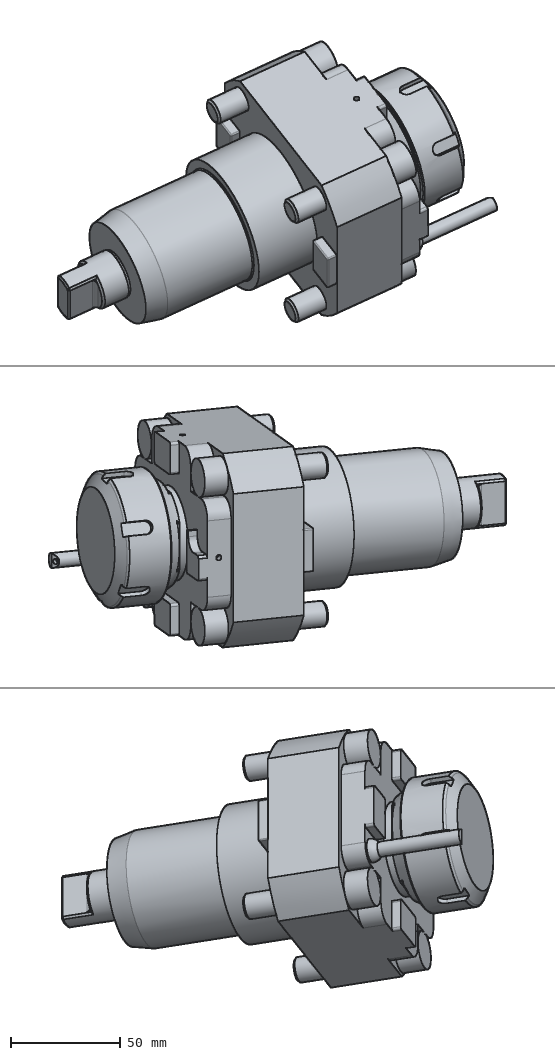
import cadquery as cq
import math


overall_length = 206

flange_width = 100.0
flange_height = 92.0
flange_thickness = 34.4
flange_corner_diameter = 117.2

cover_width = 93.9
cover_back = 46.0
cover_upright_width = 50.5
cover_bar_height = 52.7
cover_edge_radius = 8.2
oil_hole_diameter = 2.5
oil_hole_depth = 4.1
oil_hole_y = 40.4

lug_width = 20.5
lug_length = 15.5
lug_back = 50.2
lug_edge_radius = 1.2
relief_x = -40.0
relief_z = 7.6
relief_floor_x = -41.2
relief_floor_z = 1.6

collar_diameter = 44.0

nut_diameter = 63.0
nut_front = 50.0
nut_shoulder_y = 57.2
nut_back = 82.8
nut_bevel_length = 3.7
nut_edge = 1.0
nut_shoulder_edge = 0.6
nut_skirt_small_radius = 24.5
nut_skirt_large_radius = 28.6
nut_end_radius = 24.7
nut_flat_width = 44.5
nut_flat_back = 51.5
nut_slot_count = 6
nut_slot_width = 6.4
nut_slot_start_y = 65.9
nut_slot_floor_radius = 29.0
nut_slot_first_angle = -6.5

pipe_diameter = 7.0
pipe_x = 39.0
pipe_z = -19.0
pipe_end_y = 89.8
pipe_bevel = 2.7
pipe_ball_radius = 5.5
pipe_outlet_diameter = 2.5
pipe_outlet_depth = 3.0

bolt_x = 34.5
bolt_z = 35.2
bolt_head_diameter = 18.0
bolt_shank_diameter = 12.0
bolt_shank_length = 15.9
bolt_chamfer = 1.0

key_width = 13.2
key_height = 20.5
key_thickness = 5.0
key_outer_x = 49.6
key_edge_radius = 0.6

pilot_diameter = 65.0
pilot_length = 31.0
shank_diameter = 55.0
shank_root_chamfer = 0.6
shank_taper_start = 76.8
shank_length = 86.9
shank_end_diameter = 50.5

neck_diameter = 23.9
neck_root_diameter = 23.0
neck_root_length = 1.2
neck_end = 101.7
neck_chamfer = 1.0
tang_thickness = 10.3
tang_end = overall_length - pipe_end_y
tang_edge_chamfer = 0.8
tang_root_radius = 1.9


def y_cylinder(diameter, y_start, y_end, x=0, z=0):
    """Cylinder parallel to Y between two Y positions."""
    return (
        cq.Workplane("XZ", origin=(x, y_start, z))
        .circle(diameter / 2)
        .extrude(y_start - y_end)
    )


def y_block(width, height, y_start, y_end, x=0, z=0):
    """Block centred on (x, z) between two Y positions."""
    return (
        cq.Workplane("XZ", origin=(x, y_start, z))
        .rect(width, height)
        .extrude(y_start - y_end)
    )


def revolved(profile):
    """Solid of revolution about the Y axis from (radius, y) points."""
    return cq.Workplane("XY").polyline(profile).close().revolve(360, (0, 0, 0), (0, 1, 0))


def make_flange():
    block = y_block(flange_width, flange_height, 0, flange_thickness)
    return block.intersect(y_cylinder(flange_corner_diameter, 0, flange_thickness))


def make_cover():
    upright = y_block(cover_upright_width, flange_height, flange_thickness, cover_back)
    bar = y_block(cover_width, cover_bar_height, flange_thickness, cover_back)
    upright = upright.edges("|Y").fillet(cover_edge_radius)
    bar = bar.edges("|Y").fillet(cover_edge_radius)
    oil_hole = cq.Workplane("XY").circle(oil_hole_diameter / 2).extrude(oil_hole_depth)
    top_hole = oil_hole.translate((0, oil_hole_y, flange_height / 2 - oil_hole_depth))
    side_hole = oil_hole.rotate((0, 0, 0), (0, 1, 0), 90).translate((-cover_width / 2, oil_hole_y, 0))
    return upright.union(bar).cut(top_hole).cut(side_hole)


def make_lugs():
    lugs = cq.Workplane("XY")
    side_x = (cover_width - lug_length) / 2
    end_z = (flange_height - lug_length) / 2
    for sign in (-1, 1):
        side = y_block(lug_length, lug_width, cover_back, lug_back, x=sign * side_x)
        end = y_block(lug_width, lug_length, cover_back, lug_back, z=sign * end_z)
        lugs = lugs.union(side.edges("|Y").fillet(lug_edge_radius))
        lugs = lugs.union(end.edges("|Y").fillet(lug_edge_radius))
    return lugs.cut(make_lug_relief())


def make_lug_relief():
    """Scoop in the upper outer corner of the -X lug: a bevelled flat floor running into an arc."""
    outer_x = -cover_width / 2
    relief_radius = math.hypot(relief_floor_x - relief_x, relief_floor_z - relief_z)
    relief_end_x = relief_x + relief_radius
    arc_middle = (
        relief_x + relief_radius * math.cos(math.radians(-45)),
        relief_z + relief_radius * math.sin(math.radians(-45)),
    )
    return (
        cq.Workplane("XZ", origin=(0, cover_back, 0))
        .moveTo(outer_x, relief_floor_z - lug_edge_radius)
        .lineTo(outer_x + lug_edge_radius, relief_floor_z)
        .lineTo(relief_floor_x, relief_floor_z)
        .threePointArc(arc_middle, (relief_end_x, relief_z))
        .lineTo(relief_end_x, lug_width / 2)
        .lineTo(outer_x, lug_width / 2)
        .close()
        .extrude(cover_back - lug_back)
    )


def make_collar():
    return y_cylinder(collar_diameter, flange_thickness, nut_front)


def make_nut():
    nut_radius = nut_diameter / 2
    bevel_y = nut_back - nut_bevel_length
    nut = revolved([
        (0, nut_front),
        (nut_skirt_small_radius, nut_front),
        (nut_skirt_large_radius, nut_shoulder_y),
        (nut_radius - nut_shoulder_edge, nut_shoulder_y),
        (nut_radius, nut_shoulder_y + nut_shoulder_edge),
        (nut_radius, bevel_y - nut_edge),
        (nut_radius - nut_edge, bevel_y),
        (nut_end_radius, nut_back),
        (0, nut_back),
    ])
    flat_stock = y_block(nut_diameter, nut_diameter, nut_front, nut_flat_back)
    nut = nut.cut(flat_stock.cut(y_block(nut_flat_width, nut_flat_width, nut_front, nut_flat_back)))
    slot_round_y = nut_slot_start_y + nut_slot_width / 2
    slot_length = nut_back - slot_round_y
    slot = (
        cq.Workplane("XY", origin=(0, slot_round_y, nut_slot_floor_radius))
        .circle(nut_slot_width / 2)
        .extrude(nut_radius)
        .union(
            cq.Workplane("XY", origin=(0, slot_round_y + slot_length / 2, nut_slot_floor_radius))
            .rect(nut_slot_width, slot_length)
            .extrude(nut_radius)
        )
    )
    for index in range(nut_slot_count):
        angle = nut_slot_first_angle + index * 360 / nut_slot_count
        nut = nut.cut(slot.rotate((0, 0, 0), (0, 1, 0), angle))
    return nut


def make_coolant_pipe():
    """Pipe on a ball seat, with an outlet drilled square to its bevelled tip."""
    pipe = y_cylinder(pipe_diameter, flange_thickness, pipe_end_y, pipe_x, pipe_z)
    inner_x = pipe_x - pipe_diameter / 2
    bevel = (
        cq.Workplane("XY", origin=(0, 0, pipe_z - pipe_diameter / 2))
        .moveTo(inner_x, pipe_end_y)
        .lineTo(inner_x + pipe_bevel, pipe_end_y)
        .lineTo(inner_x, pipe_end_y - pipe_bevel)
        .close()
        .extrude(pipe_diameter)
    )
    bevel_middle = cq.Vector(inner_x + pipe_bevel / 2, pipe_end_y - pipe_bevel / 2, pipe_z)
    outlet = cq.Solid.makeCylinder(
        pipe_outlet_diameter / 2, pipe_outlet_depth, bevel_middle, cq.Vector(1, -1, 0)
    )
    ball = cq.Workplane("XY").sphere(pipe_ball_radius).translate((pipe_x, cover_back, pipe_z))
    return pipe.cut(bevel).cut(outlet).union(ball)


def make_bolts():
    bolts = cq.Workplane("XY")
    for x in (-bolt_x, bolt_x):
        for z in (-bolt_z, bolt_z):
            shank = y_cylinder(bolt_shank_diameter, -bolt_shank_length, flange_thickness, x, z)
            shank = shank.faces("<Y").chamfer(bolt_chamfer)
            head = y_cylinder(bolt_head_diameter, flange_thickness, cover_back, x, z)
            bolts = bolts.union(shank).union(head)
    return bolts


def make_keys():
    keys = cq.Workplane("XY")
    key_x = key_outer_x - key_width / 2
    for sign in (-1, 1):
        key = y_block(key_width, key_height, -key_thickness, flange_thickness, x=sign * key_x)
        keys = keys.union(key.edges("|Y or <Y").fillet(key_edge_radius))
    return keys


def make_shank():
    shank_radius = shank_diameter / 2
    return revolved([
        (0, flange_thickness),
        (pilot_diameter / 2, flange_thickness),
        (pilot_diameter / 2, -pilot_length),
        (shank_radius + shank_root_chamfer, -pilot_length),
        (shank_radius, -pilot_length - shank_root_chamfer),
        (shank_radius, -shank_taper_start),
        (shank_end_diameter / 2, -shank_length),
        (0, -shank_length),
    ])


def make_drive_tang():
    """Round neck milled down to a flat tang with filleted roots."""
    neck_radius = neck_diameter / 2
    neck = revolved([
        (0, -shank_length),
        (neck_root_diameter / 2, -shank_length),
        (neck_radius, -shank_length - neck_root_length),
        (neck_radius, -neck_end + neck_chamfer),
        (neck_radius - neck_chamfer, -neck_end),
        (0, -neck_end),
    ])
    tang_start = -shank_length - neck_root_length
    tang = y_cylinder(neck_diameter, -tang_end, tang_start)
    tang = tang.intersect(y_block(tang_thickness, neck_diameter, -tang_end, tang_start))
    tang = tang.edges("|Y or <Y").chamfer(tang_edge_chamfer)
    return neck.union(tang).union(make_tang_root())


def make_tang_root():
    """Web under the neck whose two sides curve out from the tang faces."""
    half_tang = tang_thickness / 2
    half_web = half_tang + tang_root_radius
    web_end = neck_end + tang_root_radius
    arc_inset = tang_root_radius * (1 - math.sqrt(0.5))
    arc_x = half_tang + arc_inset
    arc_y = -neck_end - arc_inset
    web = (
        cq.Workplane("XY", origin=(0, 0, -neck_diameter / 2))
        .moveTo(half_web, -neck_end)
        .threePointArc((arc_x, arc_y), (half_tang, -web_end))
        .lineTo(-half_tang, -web_end)
        .threePointArc((-arc_x, arc_y), (-half_web, -neck_end))
        .close()
        .extrude(neck_diameter)
    )
    return web.intersect(y_cylinder(neck_diameter - 2 * neck_chamfer, -web_end, -neck_end))


result = (
    make_flange()
    .union(make_cover())
    .union(make_lugs())
    .union(make_collar())
    .union(make_nut())
    .union(make_coolant_pipe())
    .union(make_bolts())
    .union(make_keys())
    .union(make_shank())
    .union(make_drive_tang())
)